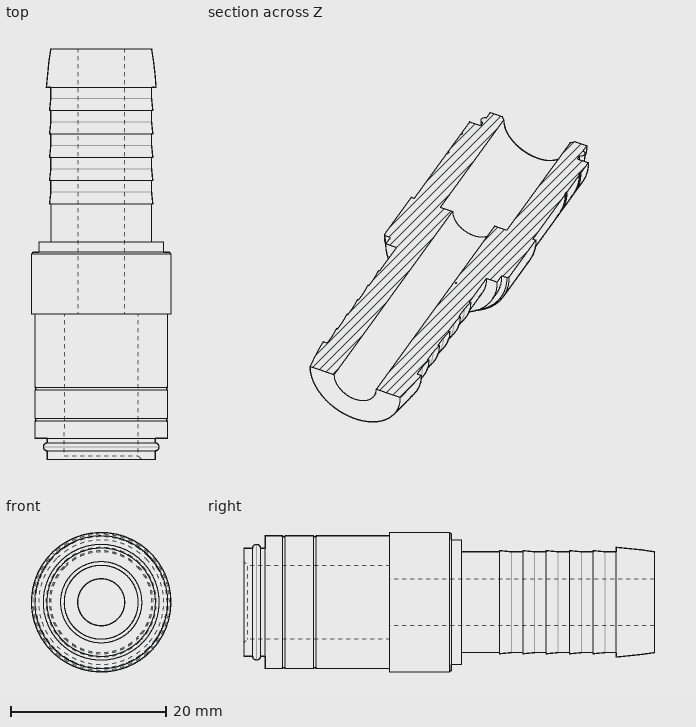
import cadquery as cq

total_length = 53.0

nose_radius = 7.0
nose_length = 2.75
ring_outer_radius = 7.45
ring_section_radius = 0.55
ring_position = 1.65

body_radius = 8.6
groove_depth = 0.1
groove_width = 0.3
groove_starts = (5.0, 9.0)

collar_radius = 9.0
collar_start = 18.75
collar_end = 26.75
collar_chamfer = 0.2
flange_radius = 8.05
flange_end = 28.1

stem_radius = 6.5
barb_radius = 6.7
barb_length = 1.55
barb_pitch = 3.0
barb_count = 5
first_barb_start = 32.95
head_radius = 7.1
head_length = 5.0
head_bulge = 0.07

bore_radius = 3.0
socket_radius = 4.75
socket_mouth_radius = 5.25
socket_depth = 18.75
socket_chamfer_length = 0.5


def cylinder(radius, start, end):
    return cq.Workplane("XZ", origin=(0, start, 0)).circle(radius).extrude(start - end)


def cone(start_radius, end_radius, start, length):
    solid = cq.Solid.makeCone(
        start_radius, end_radius, length, cq.Vector(0, start, 0), cq.Vector(0, 1, 0)
    )
    return cq.Workplane(solid)


def body():
    shape = cylinder(body_radius, nose_length, collar_start)
    for start in groove_starts:
        end = start + groove_width
        groove = cylinder(body_radius, start, end).cut(
            cylinder(body_radius - groove_depth, start, end)
        )
        shape = shape.cut(groove)
    return shape


def collar():
    shape = cylinder(collar_radius, collar_start, collar_end)
    return shape.faces(">Y").edges().chamfer(collar_chamfer)


def retaining_ring():
    centre_radius = ring_outer_radius - ring_section_radius
    return (
        cq.Workplane("XY")
        .center(centre_radius, ring_position)
        .circle(ring_section_radius)
        .revolve(360, (-centre_radius, 0), (-centre_radius, 1))
    )


def hose_head():
    start = total_length - head_length
    middle_radius = (stem_radius + head_radius) / 2 + head_bulge
    return (
        cq.Workplane("XY")
        .moveTo(0, start)
        .lineTo(head_radius, start)
        .threePointArc((middle_radius, start + head_length / 2), (stem_radius, total_length))
        .lineTo(0, total_length)
        .close()
        .revolve(360, (0, 0), (0, 1))
    )


def hose_stem():
    shape = cylinder(stem_radius, flange_end, total_length - head_length)
    for i in range(barb_count):
        start = first_barb_start + i * barb_pitch
        shape = shape.union(cone(barb_radius, stem_radius, start, barb_length))
    return shape.union(hose_head())


def bore():
    mouth = cone(socket_mouth_radius, socket_radius, 0, socket_chamfer_length)
    return (
        cylinder(bore_radius, 0, total_length)
        .union(cylinder(socket_radius, 0, socket_depth))
        .union(mouth)
    )


result = (
    cylinder(nose_radius, 0, nose_length)
    .union(retaining_ring())
    .union(body())
    .union(collar())
    .union(cylinder(flange_radius, collar_end, flange_end))
    .union(hose_stem())
    .cut(bore())
)